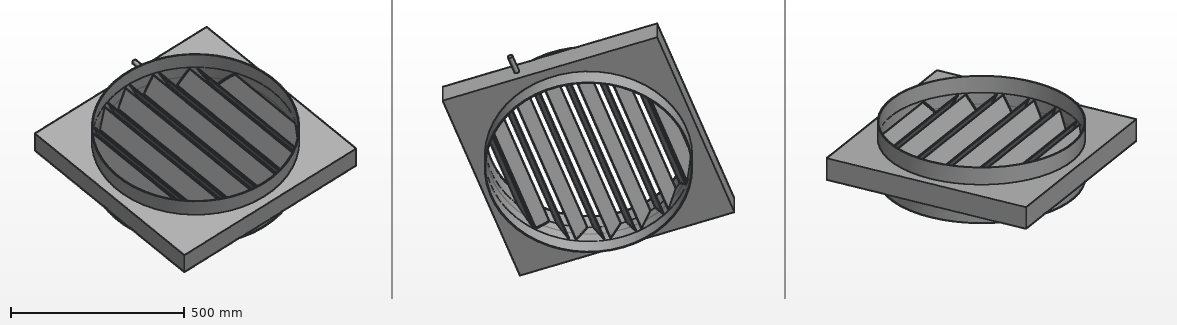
import cadquery as cq

overall_x = 713.0
frame_x = 656.0
frame_y = 658.0
frame_height = 70.0
overall_height = 179.0

collar_diameter = 599.5
collar_wall = 3.0
bore_diameter = collar_diameter - 2 * collar_wall

shaft_diameter = 15.0
shaft_y = 101.0
shaft_length = overall_x - frame_x

blade_width = 70.5
blade_thickness = 3.0
blade_tilt = 65.0
blade_pitch = 48.0
inner_blades_per_side = 5
outer_blade_y = 251.0


def make_housing():
    """Square frame with a thin round collar above and below, bored through."""
    frame = cq.Workplane("XY").box(frame_x, frame_y, frame_height)
    collars = cq.Workplane("XY").circle(collar_diameter / 2).extrude(overall_height / 2, both=True)
    bore = cq.Workplane("XY").circle(bore_diameter / 2).extrude(overall_height, both=True)
    return frame.union(collars).cut(bore)


def make_shaft():
    """Plain round shaft ending flush with the frame's -X face."""
    return (
        cq.Workplane("YZ", origin=(-frame_x / 2, 0, 0))
        .center(shaft_y, 0)
        .circle(shaft_diameter / 2)
        .extrude(-shaft_length)
    )


def make_blade(y, lean):
    """Flat blade whose top edge leans toward +Y (lean = 1) or -Y (lean = -1)."""
    blade = (
        cq.Workplane("XY")
        .box(collar_diameter, blade_width, blade_thickness)
        .rotate((0, 0, 0), (1, 0, 0), lean * blade_tilt)
        .translate((0, y, 0))
    )
    envelope = cq.Workplane("XY").circle(collar_diameter / 2).extrude(frame_height, both=True)
    return blade.intersect(envelope)


blade_positions = [(i + 0.5) * blade_pitch for i in range(inner_blades_per_side)]
blade_positions.append(outer_blade_y)

result = make_housing().union(make_shaft())
for index, blade_y in enumerate(blade_positions):
    blade_lean = -1 if index % 2 == 0 else 1
    result = result.union(make_blade(blade_y, blade_lean))
    result = result.union(make_blade(-blade_y, -blade_lean))

result = result.translate((shaft_length / 2, 0, 0))